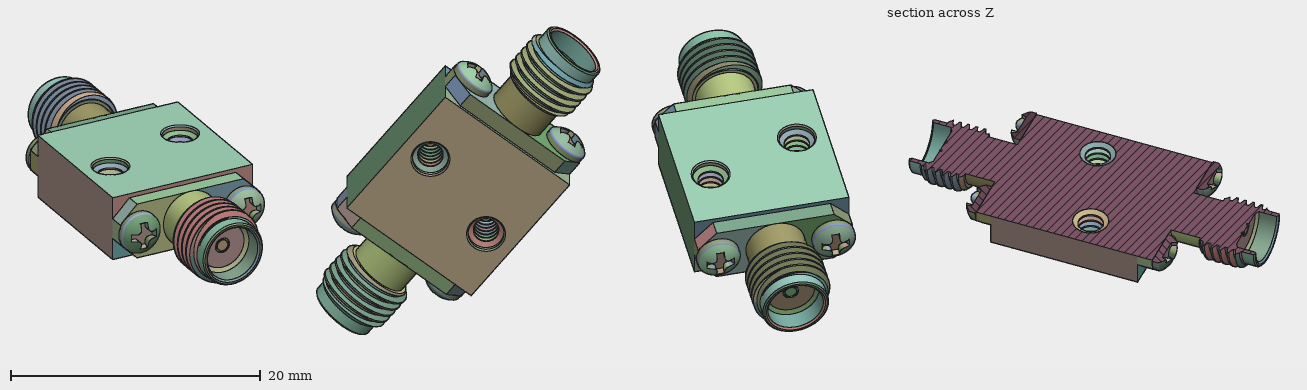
import cadquery as cq
import math

OVERALL_LENGTH = 29.97
OVERALL_WIDTH = 12.98

HOUSING_WIDTH = 12.7
HOUSING_HEIGHT = 5.55

HOLE_X = 1.25
HOLE_Y = 3.85
HOLE_CREST_RADIUS = 1.02
HOLE_ROOT_RADIUS = 1.45
HOLE_MOUTH_RADIUS = 1.55
HOLE_GROOVE_COUNT = 7
HOLE_GROOVE_WIDTH = 0.45
HOLE_FIRST_CREST_DEPTH = 0.65

FLANGE_THICKNESS = 1.3
FLANGE_HEIGHT = 4.83
FLANGE_CHAMFER = 1.53

STEM_RADIUS = 2.43
BARREL_RADIUS = 2.7
BARREL_LENGTH = 4.83
NOSE_LENGTH = 1.02
NOSE_CHAMFER = 0.12
THREAD_RADIUS = 3.18
THREAD_CREST_FLAT = 0.15
THREAD_ROOT_FLAT = 0.18
THREAD_EMBED = 0.05
THREAD_CLEARANCE = 0.05
THREAD_START = 0.55
THREAD_TURNS = 7

SOCKET_RADIUS = 2.28
SOCKET_MOUTH_CHAMFER = 0.15
SOCKET_FLOOR_RADIUS = 1.95
SOCKET_CONE_START = 1.65
SOCKET_DEPTH = 1.85
CONTACT_RADIUS = 0.48
CONTACT_GROOVE_RADIUS = 0.63
CONTACT_GROOVE_DEPTH = 0.15

SCREW_Y = 4.75
SCREW_HEIGHT = 1.32
SCREW_RIM_HEIGHT = 0.6
SCREW_RIM_ROUNDING = 0.18
RECESS_DEPTH = 0.72
RECESS_TOP_LENGTH = 2.55
RECESS_FLOOR_LENGTH = 1.9
RECESS_ARM_WIDTH = 0.63
RECESS_CORNER_RADIUS = 0.4

CONNECTOR_END = OVERALL_LENGTH / 2
FLANGE_FACE = HOUSING_WIDTH / 2 + FLANGE_THICKNESS
CONNECTOR_REACH = CONNECTOR_END - FLANGE_FACE
SCREW_RADIUS = OVERALL_WIDTH / 2 - SCREW_Y
THREAD_DEPTH = THREAD_RADIUS - BARREL_RADIUS
THREAD_PITCH = 2 * THREAD_RADIUS / 9


def revolve_about_x(points):
    """Solid of revolution about X from (distance along X, radius) points."""
    return cq.Workplane("XY").polyline(points).close().revolve(360, (0, 0), (1, 0))


def mounting_hole_cutter():
    """Hole with chamfered mouths and ring-shaped V grooves, centred on the Z axis."""
    top = HOUSING_HEIGHT / 2
    half_groove = HOLE_GROOVE_WIDTH / 2
    crest_top = top - HOLE_FIRST_CREST_DEPTH
    groove_total = HOLE_GROOVE_COUNT * HOLE_GROOVE_WIDTH
    crest_flat = (2 * crest_top - groove_total) / (HOLE_GROOVE_COUNT + 1)

    mouth = [
        (HOLE_MOUTH_RADIUS, top),
        (HOLE_ROOT_RADIUS, top - (HOLE_MOUTH_RADIUS - HOLE_ROOT_RADIUS)),
        (HOLE_ROOT_RADIUS, crest_top + half_groove),
        (HOLE_CREST_RADIUS, crest_top),
    ]
    grooves = []
    for i in range(HOLE_GROOVE_COUNT):
        groove_top = crest_top - crest_flat - i * (crest_flat + HOLE_GROOVE_WIDTH)
        grooves.append((HOLE_CREST_RADIUS, groove_top))
        grooves.append((HOLE_ROOT_RADIUS, groove_top - half_groove))
        grooves.append((HOLE_CREST_RADIUS, groove_top - HOLE_GROOVE_WIDTH))
    lower_mouth = [(radius, -z) for radius, z in reversed(mouth)]

    outline = [(0, top), *mouth, *grooves, *lower_mouth, (0, -top)]
    return cq.Workplane("XZ").polyline(outline).close().revolve(360, (0, 0), (0, 1))


def housing_block():
    """Square block with the two mounting holes."""
    block = cq.Workplane("XY").box(HOUSING_WIDTH, HOUSING_WIDTH, HOUSING_HEIGHT)
    for side in (-1, 1):
        block = block.cut(mounting_hole_cutter().translate((side * HOLE_X, -side * HOLE_Y, 0)))
    return block


def thread_ridge():
    """Helical ridge around X, longer than the finished thread, the connector mouth at X = 0."""
    half_crest = THREAD_CREST_FLAT / 2
    half_foot = (THREAD_PITCH - THREAD_ROOT_FLAT) / 2
    flank_slope = (half_foot - half_crest) / THREAD_DEPTH
    sunk_radius = BARREL_RADIUS - THREAD_EMBED
    half_sunk_foot = half_foot + THREAD_EMBED * flank_slope

    helix = cq.Wire.makeHelix(THREAD_PITCH, THREAD_TURNS * THREAD_PITCH, BARREL_RADIUS)
    section = cq.Workplane("XZ").polyline([
        (sunk_radius, -half_sunk_foot),
        (THREAD_RADIUS, -half_crest),
        (THREAD_RADIUS, half_crest),
        (sunk_radius, half_sunk_foot),
    ]).close()
    ridge = section.sweep(cq.Workplane(helix), isFrenet=True)
    return ridge.rotate((0, 0, 0), (0, 1, 0), 90).translate((THREAD_START, 0, 0))


def threaded_section():
    """Threaded length of the barrel, its ends bevelled down to the thread root."""
    core = cq.Workplane("YZ").circle(BARREL_RADIUS).extrude(CONNECTOR_REACH)
    bevel = THREAD_DEPTH + THREAD_CLEARANCE
    envelope_radius = BARREL_RADIUS + bevel
    envelope = revolve_about_x([
        (NOSE_LENGTH, 0),
        (NOSE_LENGTH, BARREL_RADIUS),
        (NOSE_LENGTH + bevel, envelope_radius),
        (BARREL_LENGTH - bevel, envelope_radius),
        (BARREL_LENGTH, BARREL_RADIUS),
        (BARREL_LENGTH, 0),
    ])
    return core.union(thread_ridge()).intersect(envelope)


def nose():
    """Plain length between the mouth and the thread, its front edge chamfered."""
    cylinder = cq.Workplane("YZ").circle(BARREL_RADIUS).extrude(NOSE_LENGTH)
    return cylinder.faces("<X").chamfer(NOSE_CHAMFER)


def stem():
    """Plain neck between the thread and the flange."""
    neck = cq.Workplane("YZ", origin=(BARREL_LENGTH, 0, 0)).circle(STEM_RADIUS)
    return neck.extrude(CONNECTOR_REACH - BARREL_LENGTH)


def socket_cutter():
    """Socket with a bevelled mouth, a tapered bottom and a ring groove around the contact."""
    groove_floor = SOCKET_DEPTH + CONTACT_GROOVE_DEPTH
    return revolve_about_x([
        (0, 0),
        (0, SOCKET_RADIUS + SOCKET_MOUTH_CHAMFER),
        (SOCKET_MOUTH_CHAMFER, SOCKET_RADIUS),
        (SOCKET_CONE_START, SOCKET_RADIUS),
        (SOCKET_DEPTH, SOCKET_FLOOR_RADIUS),
        (SOCKET_DEPTH, CONTACT_GROOVE_RADIUS),
        (groove_floor, CONTACT_GROOVE_RADIUS),
        (groove_floor, CONTACT_RADIUS),
        (SOCKET_DEPTH, CONTACT_RADIUS),
        (SOCKET_DEPTH, 0),
    ])


def flange():
    """Octagonal connector flange lying against the -X side of the housing."""
    plate = cq.Workplane("XY").box(FLANGE_THICKNESS, HOUSING_WIDTH, FLANGE_HEIGHT)
    plate = plate.edges("|X").chamfer(FLANGE_CHAMFER)
    return plate.translate((FLANGE_THICKNESS / 2 - FLANGE_FACE, 0, 0))


def connector():
    """Complete connector on the -X side, to be joined to the housing."""
    barrel = threaded_section().union(nose()).union(stem()).cut(socket_cutter())
    return barrel.translate((-CONNECTOR_END, 0, 0)).union(flange())


def housing_with_connectors():
    """Housing and its two connectors, one solid."""
    body = housing_block()
    for angle in (0, 180):
        body = body.union(connector().rotate((0, 0, 0), (0, 0, 1), angle), clean=False)
    return body


def cross_recess():
    """Cross-shaped driver recess around Z with sloping arm ends, its floor at Z = 0."""
    half_floor = RECESS_FLOOR_LENGTH / 2
    half_top = RECESS_TOP_LENGTH / 2
    arm_side = cq.Workplane("XZ").polyline([
        (-half_floor, 0),
        (half_floor, 0),
        (half_top, RECESS_DEPTH),
        (-half_top, RECESS_DEPTH),
    ]).close()
    arm = arm_side.extrude(RECESS_ARM_WIDTH / 2, both=True)
    cross = arm.union(arm.rotate((0, 0, 0), (0, 0, 1), 90))
    return cross.edges("|Z").fillet(RECESS_CORNER_RADIUS)


def screw_head():
    """Domed screw head standing on Z = 0."""
    rounding_start = SCREW_RIM_HEIGHT - SCREW_RIM_ROUNDING
    dome_radius = SCREW_RADIUS - SCREW_RIM_ROUNDING / 2
    dome_rise = SCREW_HEIGHT - SCREW_RIM_HEIGHT
    sphere_radius = (dome_radius ** 2 + dome_rise ** 2) / (2 * dome_rise)
    middle_x = dome_radius / 2
    middle_z = SCREW_HEIGHT - sphere_radius + math.sqrt(sphere_radius ** 2 - middle_x ** 2)
    head = (
        cq.Workplane("XZ")
        .lineTo(SCREW_RADIUS, 0)
        .lineTo(SCREW_RADIUS, rounding_start)
        .tangentArcPoint((dome_radius, SCREW_RIM_HEIGHT), relative=False)
        .threePointArc((middle_x, middle_z), (0, SCREW_HEIGHT))
        .close()
        .revolve(360, (0, 0), (0, 1))
    )
    return head.cut(cross_recess().translate((0, 0, SCREW_HEIGHT - RECESS_DEPTH)))


def screw_heads():
    """Four screw heads, two seated on each flange."""
    heads = []
    for side in (-1, 1):
        for y in (-SCREW_Y, SCREW_Y):
            head = screw_head().rotate((0, 0, 0), (0, 1, 0), side * 90)
            heads.append(head.translate((side * FLANGE_FACE, y, 0)).val())
    return heads


housing = housing_with_connectors()
screws = screw_heads()
result = cq.Compound.makeCompound([housing.val(), *screws])